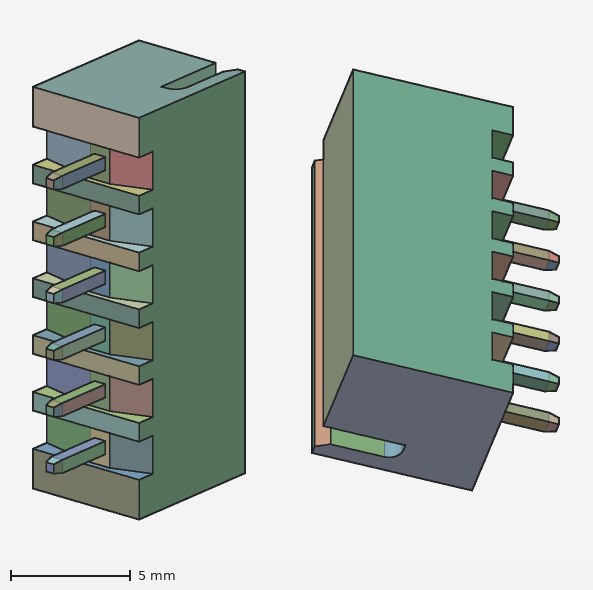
import cadquery as cq

housing_width = 5.73
housing_depth = 7.0
housing_length = 17.96

pin_count = 6
pin_row_span = 12.7
pin_x = 3.38
pin_side = 0.6
pin_projection = 3.0
tip_length = 0.47
tip_side = 0.41

pocket_height = 1.7
pocket_side_depth = 0.92
pocket_flat_depth = 0.3
pocket_flat_width = 1.08

slot_start_x = 4.15
slot_width = 0.88
slot_depth = 3.6
slot_corner_radius = 0.65
lead_in_width = 0.3
lead_in_depth = 0.6

pin_pitch = pin_row_span / (pin_count - 1)
first_pin_z = (housing_length - pin_row_span) / 2
pin_positions_z = [first_pin_z + i * pin_pitch for i in range(pin_count)]


def make_housing():
    return cq.Workplane("XY").box(housing_width, housing_depth, housing_length, centered=False)


def make_latch_slot():
    """Slot with one rounded floor corner and a sloped lead-in on the latch side."""
    slot_end_x = slot_start_x + slot_width
    floor_y = housing_depth - slot_depth
    profile = (
        cq.Workplane("XY")
        .moveTo(slot_start_x, housing_depth)
        .lineTo(slot_start_x, floor_y)
        .lineTo(slot_end_x - slot_corner_radius, floor_y)
        .radiusArc((slot_end_x, floor_y + slot_corner_radius), -slot_corner_radius)
        .lineTo(slot_end_x, housing_depth - lead_in_depth)
        .lineTo(slot_end_x + lead_in_width, housing_depth)
        .close()
    )
    return profile.extrude(housing_length)


def make_pocket(center_z):
    """Full-width pocket whose floor slopes up from both sides to the flat around the pin."""
    flat_start_x = pin_x - pocket_flat_width / 2
    flat_end_x = pin_x + pocket_flat_width / 2
    pocket_outline = [
        (0, 0),
        (0, pocket_side_depth),
        (flat_start_x, pocket_flat_depth),
        (flat_end_x, pocket_flat_depth),
        (housing_width, pocket_side_depth),
        (housing_width, 0),
    ]
    bottom_z = center_z - pocket_height / 2
    pocket_base = cq.Workplane("XY", origin=(0, 0, bottom_z))
    return pocket_base.polyline(pocket_outline).close().extrude(pocket_height)


def make_pin(center_z):
    """Square pin projecting toward -Y, rooted on the pocket flat, with a tapered tip."""
    shank_length = pin_projection - tip_length + pocket_flat_depth
    shank = (
        cq.Workplane("XZ", origin=(pin_x, pocket_flat_depth, center_z))
        .rect(pin_side, pin_side)
        .extrude(shank_length)
    )
    tip = (
        shank.faces("<Y")
        .workplane()
        .rect(pin_side, pin_side)
        .workplane(offset=tip_length)
        .rect(tip_side, tip_side)
        .loft(combine=False)
    )
    return shank.union(tip)


result = make_housing().cut(make_latch_slot())
for pin_z in pin_positions_z:
    result = result.cut(make_pocket(pin_z)).union(make_pin(pin_z))